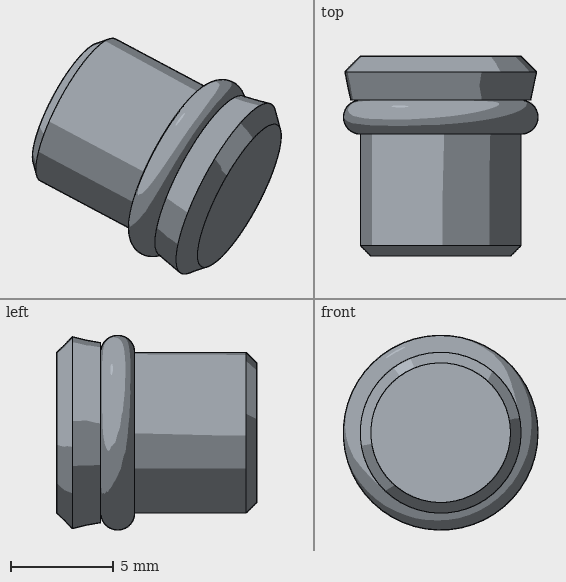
import cadquery as cq

length = 9.78
body_radius = 3.93
front_chamfer = 0.52
ring_radius = 4.76
bead_front = 5.97
flare_start_radius = 4.4
flare_end_radius = 4.69
rear_chamfer = 0.76

bead_radius = ring_radius - body_radius
bead_centre = bead_front + bead_radius
bead_rear = bead_front + 2 * bead_radius
flare_end = length - rear_chamfer

profile = (
    cq.Workplane("XY")
    .moveTo(0, 0)
    .lineTo(body_radius - front_chamfer, 0)
    .lineTo(body_radius, front_chamfer)
    .lineTo(body_radius, bead_front)
    .threePointArc((ring_radius, bead_centre), (body_radius, bead_rear))
    .lineTo(flare_start_radius, bead_rear)
    .lineTo(flare_end_radius, flare_end)
    .lineTo(flare_end_radius - rear_chamfer, length)
    .lineTo(0, length)
    .close()
)

result = profile.revolve(360, (0, 0, 0), (0, 1, 0))